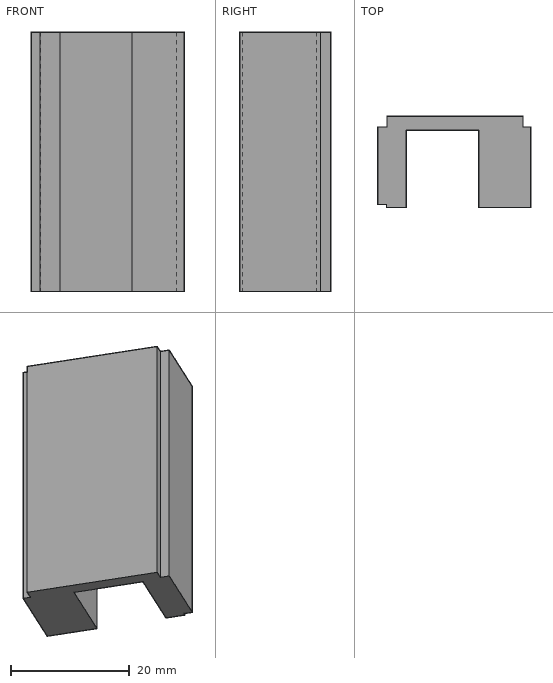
import cadquery as cq

width = 25.78
depth = 15.4
height = 43.69

left_arm = 4.83
right_arm = 8.8
web = 2.4

back_rebate_depth = 1.8
back_left_rebate_width = 1.55
back_right_rebate_width = 1.3
front_rebate_width = 1.45
front_rebate_depth = 0.5

left = -width / 2
right = width / 2
front = -depth / 2
back = depth / 2


def upright_block(x_min, x_max, y_min, y_max):
    """Full-height block spanning the given X and Y ranges."""
    block = cq.Workplane("XY").box(x_max - x_min, y_max - y_min, height)
    return block.translate(((x_min + x_max) / 2, (y_min + y_max) / 2, 0))


body = upright_block(left, right, front, back)

opening = upright_block(left + left_arm, right - right_arm, front, back - web)

back_left_rebate = upright_block(
    left, left + back_left_rebate_width, back - back_rebate_depth, back
)
back_right_rebate = upright_block(
    right - back_right_rebate_width, right, back - back_rebate_depth, back
)
front_left_rebate = upright_block(
    left, left + front_rebate_width, front, front + front_rebate_depth
)

result = body.cut(opening).cut(back_left_rebate).cut(back_right_rebate).cut(front_left_rebate)